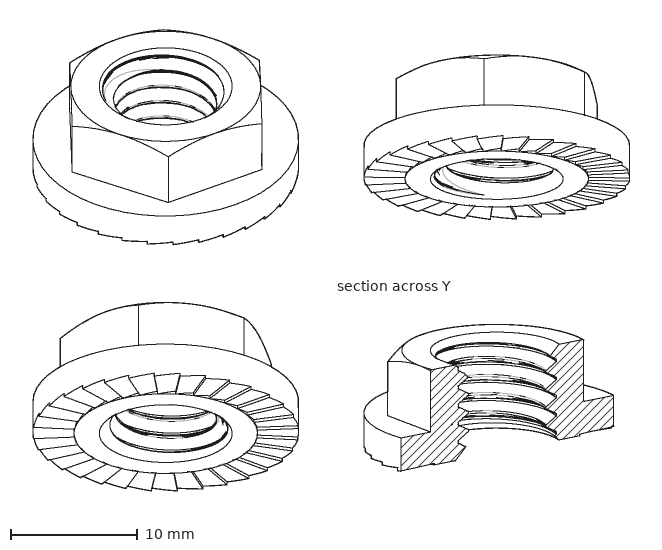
import cadquery as cq
import math

flange_diameter = 21.0
flange_height = 2.8
total_height = 7.9
across_flats = 15.0
crown_chamfer_angle = 30.0

pitch = 1.5
major_radius = 5.0
half_thread_angle = math.radians(30.0)
thread_flat = pitch / 8
groove_depth = (pitch - 2 * thread_flat) / 2 / math.tan(half_thread_angle)
bore_radius = major_radius - groove_depth
thread_start_angle = 190.0
countersink_radius = 5.25

tooth_count = 32
tooth_depth = 0.25
serration_inner_radius = 7.25

flange_radius = flange_diameter / 2

clearance = 0.2


def make_flange():
    return cq.Workplane("XY").circle(flange_radius).extrude(flange_height)


def make_hexagon():
    """Hexagon with corners on the Y axis and a conical crown chamfer."""
    corner_diameter = across_flats / math.cos(math.pi / 6)
    hexagon = (
        cq.Workplane("XY")
        .polygon(6, corner_diameter)
        .extrude(total_height)
        .rotate((0, 0, 0), (0, 0, 1), 90)
    )
    top_radius = across_flats / 2
    drop = (flange_radius - top_radius) * math.tan(math.radians(crown_chamfer_angle))
    crown = (
        cq.Workplane("XZ")
        .moveTo(0, 0)
        .lineTo(flange_radius, 0)
        .lineTo(flange_radius, total_height - drop)
        .lineTo(top_radius, total_height)
        .lineTo(0, total_height)
        .close()
        .revolve(360, (0, 0, 0), (0, 1, 0))
    )
    return hexagon.intersect(crown)


def make_countersink():
    """Cone of 45 degrees opening at the bearing face."""
    return (
        cq.Workplane("XZ")
        .moveTo(0, -clearance)
        .lineTo(countersink_radius + clearance, -clearance)
        .lineTo(0, countersink_radius)
        .close()
        .revolve(360, (0, 0, 0), (0, 1, 0))
    )


def polar_point(radius, angle):
    radians = math.radians(angle)
    return (radius * math.cos(radians), radius * math.sin(radians))


def make_threaded_core():
    """Right-handed screw filling the bore, made by twisting its level cross-section.

    Each turn of the section covers one pitch: root arc, flank spiral, crest arc, flank spiral.
    """
    flat_angle = 360 * thread_flat / pitch
    flank_angle = 180 - flat_angle
    half_flat = flat_angle / 2
    flank_points = 12

    def falling_flank(t):
        return polar_point(major_radius - groove_depth * t, half_flat + flank_angle * t)

    def rising_flank(t):
        return polar_point(bore_radius + groove_depth * t, 180 + half_flat + flank_angle * t)

    section = (
        cq.Workplane("XY")
        .moveTo(*polar_point(major_radius, -half_flat))
        .threePointArc((major_radius, 0), falling_flank(0))
        .parametricCurve(falling_flank, N=flank_points, makeWire=False)
        .threePointArc((-bore_radius, 0), rising_flank(0))
        .parametricCurve(rising_flank, N=flank_points, makeWire=False)
    )
    length = total_height + 2 * clearance
    core = section.wire().twistExtrude(length, 360 * length / pitch)
    lower_end_angle = thread_start_angle - 360 * clearance / pitch
    return core.translate((0, 0, -clearance)).rotate((0, 0, 0), (0, 0, 1), lower_end_angle)


def tooth_section(radius):
    """Cross-section of one tooth gap at a given radius, centred on the -Y axis."""
    half_width = radius * math.tan(math.pi / tooth_count)
    corners = [
        (-half_width, -clearance),
        (half_width, -clearance),
        (half_width, tooth_depth),
        (-half_width, 0),
    ]
    return cq.Wire.makePolygon([cq.Vector(x, -radius, z) for x, z in corners], close=True)


def make_tooth_gap():
    """Ramp rising to a radial wall, stopping at the round inner ring."""
    inner_section = tooth_section(serration_inner_radius - clearance)
    outer_section = tooth_section(flange_radius + clearance)
    wedge = cq.Workplane(obj=cq.Solid.makeLoft([inner_section, outer_section], True))
    inner_ring = cq.Workplane("XY").circle(serration_inner_radius).extrude(flange_height, both=True)
    return wedge.cut(inner_ring)


body = make_flange().union(make_hexagon())

tooth_gap = make_tooth_gap()
for index in range(tooth_count):
    body = body.cut(tooth_gap.rotate((0, 0, 0), (0, 0, 1), index * 360 / tooth_count))

bottom_countersink = make_countersink()
top_countersink = bottom_countersink.mirror("XY").translate((0, 0, total_height))
result = body.cut(make_threaded_core()).cut(bottom_countersink).cut(top_countersink)
result = cq.Workplane(obj=result.solids().val())